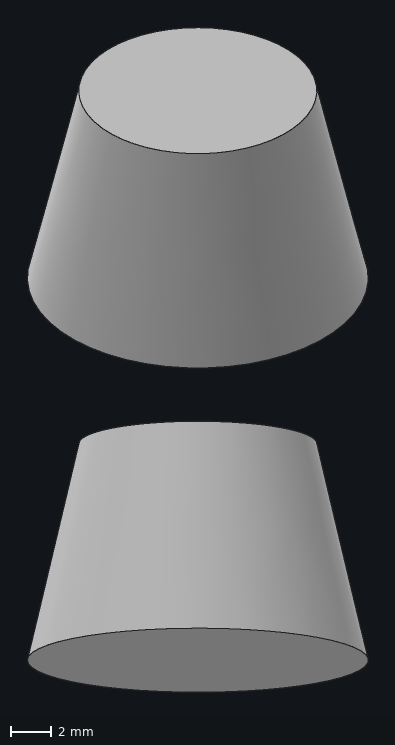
import cadquery as cq

base_diameter = 17.0
top_diameter = 11.87
height = 11.0

base_radius = base_diameter / 2
top_radius = top_diameter / 2

half_profile = (
    cq.Workplane("XZ")
    .moveTo(0, 0)
    .lineTo(base_radius, 0)
    .lineTo(top_radius, height)
    .lineTo(0, height)
    .close()
)

result = half_profile.revolve(360, (0, 0, 0), (0, 1, 0))